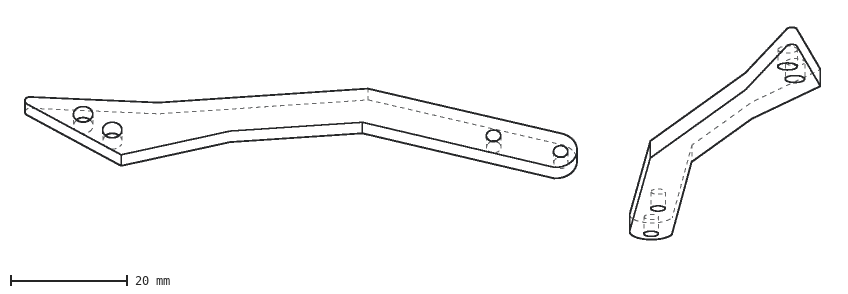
import cadquery as cq
import math

thickness = 3.15

base_length = 20.3
point_radius = 0.85
foot_top = (19.3, 12.9)
foot_angle = math.radians(30.1)
foot_hole_diameter = 3.3
foot_hole_y = 3.6
first_foot_hole_x = 10.0
foot_hole_spacing = 6.0

lower_neck = (32.9, 14.7)
lower_bend = (50.6, 29.0)
upper_bend = (47.3, 35.5)

length = 85.0
width = 46.3
tip_radius = 3.7
tip_arc_start_x = 83.2
tip_angle = math.radians(17.7)
tip_hole_diameter = 2.5
tip_hole = (82.2, 42.85)
tip_hole_spacing = 12.0

point_center = (point_radius, point_radius)
tip_center = (length - tip_radius, width - tip_radius)


def polar(center, radius, angle):
    """Point at a distance and direction from a center."""
    return (center[0] + radius * math.cos(angle), center[1] + radius * math.sin(angle))


def make_plate():
    """Cranked arm with a rounded tip and a fully rounded foot point."""
    tip_start_angle = -math.acos((tip_arc_start_x - tip_center[0]) / tip_radius)
    tip_bottom = polar(tip_center, tip_radius, tip_start_angle)
    tip_end = polar(tip_center, tip_radius, tip_angle)
    tip_top = polar(tip_center, tip_radius, tip_angle + math.pi / 2)
    point_top = polar(point_center, point_radius, foot_angle + math.pi / 2)
    point_end = polar(point_center, point_radius, math.pi)
    return (
        cq.Workplane("XY")
        .moveTo(point_radius, 0)
        .lineTo(base_length, 0)
        .lineTo(*lower_neck)
        .lineTo(*lower_bend)
        .lineTo(*tip_bottom)
        .threePointArc(tip_end, tip_top)
        .lineTo(*upper_bend)
        .lineTo(*foot_top)
        .lineTo(*point_top)
        .threePointArc(point_end, (point_radius, 0))
        .close()
        .extrude(thickness)
    )


def drill(plate, centers, diameter):
    """Cut round holes through the full thickness."""
    holes = cq.Workplane("XY").pushPoints(centers).circle(diameter / 2).extrude(thickness)
    return plate.cut(holes)


foot_holes = [(first_foot_hole_x + i * foot_hole_spacing, foot_hole_y) for i in range(2)]
tip_holes = [tip_hole, polar(tip_hole, -tip_hole_spacing, tip_angle)]

result = make_plate()
result = drill(result, foot_holes, foot_hole_diameter)
result = drill(result, tip_holes, tip_hole_diameter)